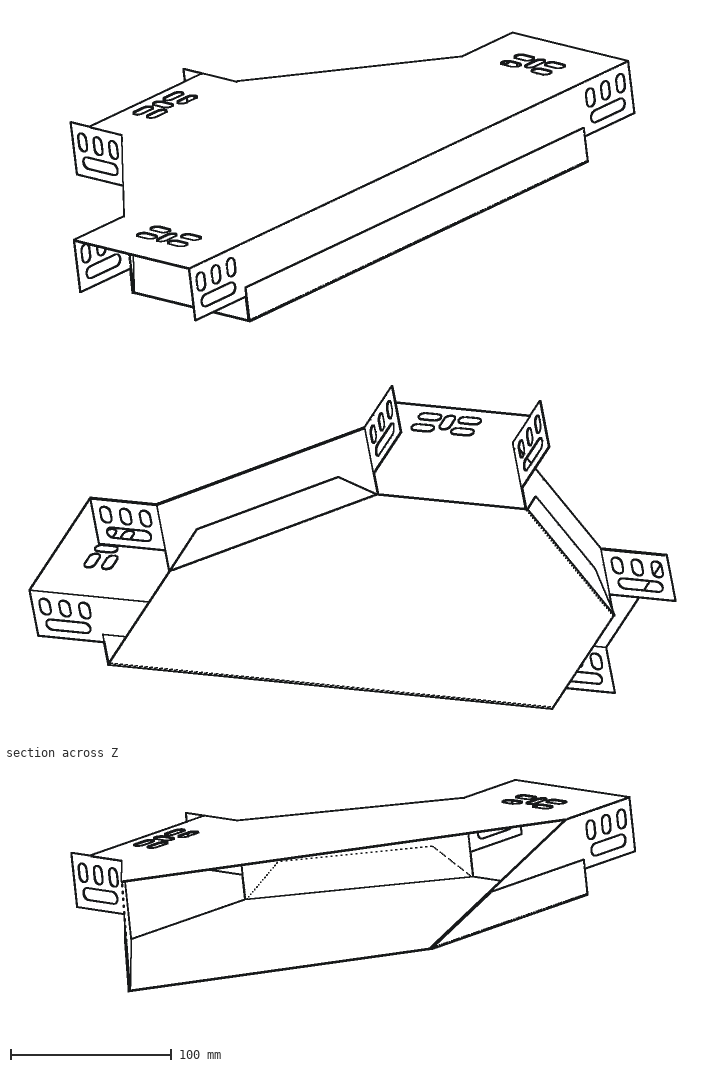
import cadquery as cq
import math


SHEET = 0.7
CHANNEL_WIDTH = 100.0
CHANNEL_DEPTH = 50.1
NECK_LENGTH = 45.0
CORNER_LEG = 100.3
TAB_DEPTH = 35.0
BRANCH_PLATE_LENGTH = 28.8
FLAP_HEIGHT = 22.7

TAB_SLOT_PITCH = 13.5
TAB_SLOT_FROM_END = 22.1
TAB_SLOT_SIZE = (12.0, 7.0)
TAB_SLOT_DEPTH = 12.0
LONG_SLOT_SIZE = (30.0, 7.8)
LONG_SLOT_DEPTH = 25.4

PLATE_SLOT_SIZE = (15.0, 7.0)
PLATE_SLOT_ALONG = 12.0
PLATE_SLOT_ACROSS = 27.0
RUN_SLOTS_FROM_END = 33.5
BRANCH_SLOTS_FROM_END = 17.1
CROSS_SLOT_SHIFT = 1.9

TURN_Z = 61.70
TURN_Y = -16.48
TURN_X = -30.41

ARM_WIDTH = CHANNEL_WIDTH + 2 * SHEET
RUN_LENGTH = ARM_WIDTH + 2 * (NECK_LENGTH + CORNER_LEG)
MIDDLE = RUN_LENGTH / 2
BRANCH_LEFT = MIDDLE - ARM_WIDTH / 2
BRANCH_ROOT = ARM_WIDTH + CORNER_LEG
BRANCH_PLATE_END = BRANCH_ROOT + BRANCH_PLATE_LENGTH
BRANCH_END = BRANCH_ROOT + NECK_LENGTH
TRAY_DEPTH = CHANNEL_DEPTH + SHEET
TOTAL_DEPTH = TRAY_DEPTH + SHEET
DIAGONAL = SHEET * math.sqrt(2)
CORNER_SHIFT = SHEET * (math.sqrt(2) - 1)
PAST = 10.0


def mirrored_prism(left_half, bottom, top):
    """Prism between two heights; the outline is the left half plus its mirror image."""
    right_half = [(RUN_LENGTH - x, y) for x, y in reversed(left_half)]
    outline = cq.Workplane("XY").workplane(offset=bottom).polyline(left_half + right_half).close()
    return outline.extrude(top - bottom)


def block(x_range, y_range, z_range):
    size = [high - low for low, high in (x_range, y_range, z_range)]
    corner = (x_range[0], y_range[0], z_range[0])
    return cq.Workplane("XY").box(*size, centered=False).translate(corner)


def tray_shell():
    outer = mirrored_prism(
        [
            (0, 0),
            (0, ARM_WIDTH),
            (NECK_LENGTH, ARM_WIDTH),
            (BRANCH_LEFT, BRANCH_ROOT),
            (BRANCH_LEFT, BRANCH_END),
        ],
        -TRAY_DEPTH,
        0,
    )
    channel = mirrored_prism(
        [
            (-PAST, SHEET),
            (-PAST, ARM_WIDTH - SHEET),
            (NECK_LENGTH + CORNER_SHIFT, ARM_WIDTH - SHEET),
            (BRANCH_LEFT + SHEET, BRANCH_ROOT - CORNER_SHIFT),
            (BRANCH_LEFT + SHEET, BRANCH_END + PAST),
        ],
        -TRAY_DEPTH - PAST,
        -SHEET,
    )
    return outer.cut(channel)


def trim_necks(tray):
    """Shorten the walls of the necks to tab depth and the branch plate to its own length."""
    below_tabs = (-TRAY_DEPTH - PAST, -TAB_DEPTH)
    across_run = (-PAST, ARM_WIDTH + PAST)
    tray = tray.cut(block((-PAST, NECK_LENGTH), across_run, below_tabs))
    tray = tray.cut(block((RUN_LENGTH - NECK_LENGTH, RUN_LENGTH + PAST), across_run, below_tabs))
    tray = tray.cut(block((0, RUN_LENGTH), (BRANCH_ROOT, BRANCH_END + PAST), below_tabs))
    inside_branch = (BRANCH_LEFT + SHEET, BRANCH_LEFT + ARM_WIDTH - SHEET)
    return tray.cut(block(inside_branch, (BRANCH_PLATE_END, BRANCH_END + PAST), (-TAB_DEPTH, PAST)))


def plate_slots(end_point, to_middle, turn):
    """Cutter for one arm: four slots across the arm around one slot along it.

    The arm's free plate edge is centred on end_point and turn aims local +X inwards.
    """
    four = (
        cq.Workplane("XY")
        .rarray(PLATE_SLOT_ALONG, PLATE_SLOT_ACROSS, 2, 2)
        .slot2D(*PLATE_SLOT_SIZE, angle=90)
        .extrude(2 * PAST, both=True)
    )
    cross = (
        cq.Workplane("XY")
        .center(-CROSS_SLOT_SHIFT, 0)
        .slot2D(*PLATE_SLOT_SIZE)
        .extrude(2 * PAST, both=True)
    )
    group = four.union(cross).translate((to_middle, 0, 0))
    return group.rotate((0, 0, 0), (0, 0, 1), turn).translate(end_point)


def tab_slots(middle, length):
    """Cutter for one pair of opposite tabs, starting on the XZ plane and running along +Y."""
    short = (
        cq.Workplane("XZ")
        .center(middle, -TAB_SLOT_DEPTH)
        .rarray(TAB_SLOT_PITCH, 1, 3, 1)
        .slot2D(*TAB_SLOT_SIZE, angle=90)
        .extrude(-length)
    )
    long = (
        cq.Workplane("XZ")
        .center(middle, -LONG_SLOT_DEPTH)
        .slot2D(*LONG_SLOT_SIZE)
        .extrude(-length)
    )
    return short.union(long)


def make_tray():
    tray = trim_necks(tray_shell())

    arm_centre = ARM_WIDTH / 2
    tray = tray.cut(plate_slots((0, arm_centre, 0), RUN_SLOTS_FROM_END, 0))
    tray = tray.cut(plate_slots((RUN_LENGTH, arm_centre, 0), RUN_SLOTS_FROM_END, 180))
    tray = tray.cut(plate_slots((MIDDLE, BRANCH_PLATE_END, 0), BRANCH_SLOTS_FROM_END, -90))

    for middle in (TAB_SLOT_FROM_END, RUN_LENGTH - TAB_SLOT_FROM_END):
        tray = tray.cut(tab_slots(middle, ARM_WIDTH))
    branch_slots = tab_slots(0, ARM_WIDTH).rotate((0, 0, 0), (0, 0, 1), -90)
    branch_start = (BRANCH_LEFT, BRANCH_END - TAB_SLOT_FROM_END, 0)
    return tray.cut(branch_slots.translate(branch_start))


def corner_flap():
    """Mitred flap of the left corner wall, lying against the wall's outer face."""
    length = CORNER_LEG * math.sqrt(2)
    wall_plane = cq.Plane(
        origin=(BRANCH_LEFT, BRANCH_ROOT, -TOTAL_DEPTH), xDir=(-1, -1, 0), normal=(-1, 1, 0)
    )
    outline = [(0, 0), (length, 0), (length - FLAP_HEIGHT, FLAP_HEIGHT), (FLAP_HEIGHT, FLAP_HEIGHT)]
    return cq.Workplane(wall_plane).polyline(outline).close().extrude(SHEET)


def make_cover():
    plate = mirrored_prism(
        [
            (NECK_LENGTH, -SHEET),
            (NECK_LENGTH, ARM_WIDTH + DIAGONAL),
            (BRANCH_LEFT - DIAGONAL, BRANCH_ROOT),
        ],
        -TOTAL_DEPTH,
        -TRAY_DEPTH,
    )
    back_flap = block(
        (NECK_LENGTH, RUN_LENGTH - NECK_LENGTH),
        (-SHEET, 0),
        (-TOTAL_DEPTH, FLAP_HEIGHT - TOTAL_DEPTH),
    )
    left_flap = corner_flap()
    right_flap = left_flap.mirror("YZ", (MIDDLE, 0, 0))
    return plate.union(back_flap).union(left_flap).union(right_flap)


def oriented(body):
    turns = [((0, 0, 1), TURN_Z), ((0, 1, 0), TURN_Y), ((1, 0, 0), TURN_X)]
    for axis, angle in turns:
        body = body.rotate((0, 0, 0), axis, angle)
    return body


tray = oriented(make_tray())
cover = oriented(make_cover())

result = cq.Compound.makeCompound([tray.val(), cover.val()])